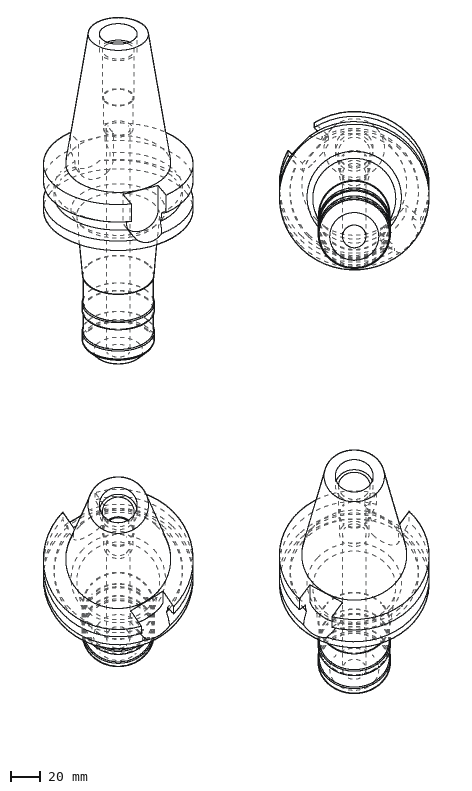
import cadquery as cq

total_height = 251.8
gauge_z = 150.0
flange_top_z = 148.5
flange_bottom_z = 112.0
collar_bottom_z = 107.5
neck_bottom_z = 60.2

taper_top_radius = 20.1
gauge_radius = 35.0
flange_radius = 49.98
collar_radius = 31.5
neck_radius = 27.7
neck_end_radius = 24.0
shank_radius = 23.5
nose_radius = 16.4
nose_chamfer_height = 7.5

groove_radius = 42.8
upper_rim_bottom_z = 134.7
groove_top_z = 130.0
groove_bottom_z = 123.6
lower_rim_top_z = 119.5

band_radius = 24.2
band_edge = band_radius - shank_radius
bands = (
    (32.2, 38.8, ">Z"),
    (8.3, 16.0, "<Z or >Z"),
)

slot_width = 25.7
slot_floor_x = 35.3
slot_bottom_z = 115.8

bore_steps = ((12.5, 13.0), (10.5, 50.4), (9.8, 75.5))
through_radius = 7.8


def cylinder(radius, bottom, top):
    return cq.Workplane("XY").workplane(offset=bottom).circle(radius).extrude(top - bottom)


def make_body():
    profile = [
        (0, 0),
        (nose_radius, 0),
        (shank_radius, nose_chamfer_height),
        (shank_radius, neck_bottom_z),
        (neck_end_radius, neck_bottom_z),
        (neck_radius, collar_bottom_z),
        (collar_radius, flange_bottom_z),
        (flange_radius, flange_bottom_z),
        (flange_radius, lower_rim_top_z),
        (groove_radius, groove_bottom_z),
        (groove_radius, groove_top_z),
        (flange_radius, upper_rim_bottom_z),
        (flange_radius, flange_top_z),
        (gauge_radius, flange_top_z),
        (gauge_radius, gauge_z),
        (taper_top_radius, total_height),
        (0, total_height),
    ]
    return cq.Workplane("XZ").polyline(profile).close().revolve(360, (0, 0), (0, 1))


def make_band(bottom, top, bevelled_ends):
    return cylinder(band_radius, bottom, top).faces(bevelled_ends).chamfer(band_edge)


def make_slot(side):
    """Round-bottomed slot cut into the flange; side is +1 or -1 along X."""
    round_center_z = slot_bottom_z + slot_width / 2
    half_width = slot_width / 2
    return (
        cq.Workplane("YZ", origin=(side * slot_floor_x, 0, 0))
        .moveTo(-half_width, flange_top_z)
        .lineTo(-half_width, round_center_z)
        .threePointArc((0, slot_bottom_z), (half_width, round_center_z))
        .lineTo(half_width, flange_top_z)
        .close()
        .extrude(side * flange_radius)
    )


def make_bore():
    bore = cylinder(through_radius, 0, total_height)
    for radius, depth in bore_steps:
        bore = bore.union(cylinder(radius, total_height - depth, total_height))
    return bore


result = make_body()
for band_bottom, band_top, band_bevels in bands:
    result = result.union(make_band(band_bottom, band_top, band_bevels))
for slot_side in (-1, 1):
    result = result.cut(make_slot(slot_side))
result = result.cut(make_bore())